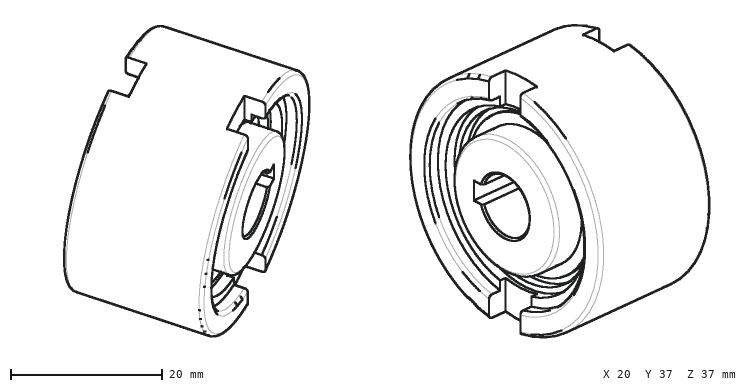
import cadquery as cq

width = 20.0
outer_radius = 18.5
edge_round = 0.5

hub_radius = 10.0
bore_radius = 4.5
bore_chamfer = 0.3

rim_bore_radius = 15.0
rim_bore_depth = 2.0
shelf_radius = 13.5
shelf_depth = 3.63
groove_radius = 12.6
groove_depth = 5.0
inner_floor_radius = 11.7
inner_floor_depth = 4.5

recess_steps = [
    (rim_bore_radius, hub_radius, rim_bore_depth),
    (shelf_radius, hub_radius, shelf_depth),
    (groove_radius, hub_radius, inner_floor_depth),
    (groove_radius, inner_floor_radius, groove_depth),
]

slot_width = 6.0
slot_depth = 3.0
keyway_width = 3.0
keyway_reach = 5.95

half_width = width / 2
radius_tolerance = 0.05


def ring_cutter(ring_outer_radius, ring_inner_radius, depth, side):
    """Annular cutter reaching inward from one end face."""
    return (
        cq.Workplane("YZ", origin=(side * half_width, 0, 0))
        .circle(ring_outer_radius)
        .circle(ring_inner_radius)
        .extrude(-side * depth)
    )


def end_face_edges(shape, radius):
    """Circular edges of the given radius lying on the two end faces."""
    edges = shape.faces("<X or >X").edges("%CIRCLE").vals()
    return [edge for edge in edges if abs(edge.radius() - radius) < radius_tolerance]


def slot_cutter(side):
    """Diametral slot along Z, cutting the rim but leaving the hub and recess floors."""
    slot = cq.Workplane("XY").box(2 * slot_depth, slot_width, 2 * outer_radius + edge_round)
    slot = slot.translate((side * half_width, 0, 0))
    hub = cq.Workplane("YZ").circle(hub_radius).extrude(half_width, both=True)
    return slot.cut(hub)


def keyway_cutter():
    """Straight keyway through the full length of the hub, on the +Y side."""
    return (
        cq.Workplane("XY")
        .box(width, keyway_reach, keyway_width)
        .translate((0, keyway_reach / 2, 0))
    )


body = cq.Workplane("YZ").circle(outer_radius).circle(bore_radius).extrude(half_width, both=True)

for side in (-1, 1):
    for step_outer_radius, step_inner_radius, step_depth in recess_steps:
        body = body.cut(ring_cutter(step_outer_radius, step_inner_radius, step_depth, side))

for rounded_radius in (outer_radius, rim_bore_radius, hub_radius):
    body = body.newObject(end_face_edges(body, rounded_radius)).fillet(edge_round)
body = body.newObject(end_face_edges(body, bore_radius)).chamfer(bore_chamfer)

for side in (-1, 1):
    body = body.cut(slot_cutter(side))

result = body.cut(keyway_cutter())